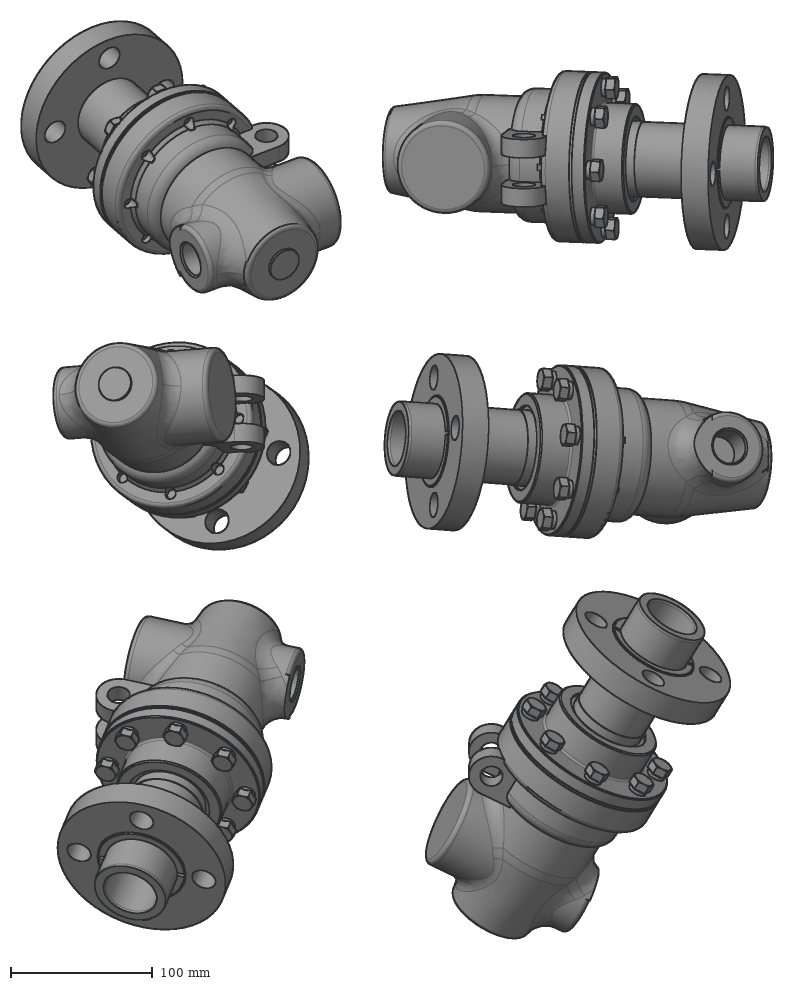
import cadquery as cq
import math


pipe_diameter = 53.1
pipe_collar_diameter = 53.95
pipe_collar_start = 89.0
pipe_bore_diameter = 38.61
pipe_bore_depth = 117.5
pipe_outer_chamfer = 2.0
pipe_outer_chamfer_height = 0.4
pipe_bore_chamfer = 2.0
pipe_bore_chamfer_height = 0.4

flange_diameter = 124.0
flange_start = 27.9
flange_end = 47.4
flange_hole_count = 4
flange_hole_diameter = 17.35
flange_hole_circle_radius = 46.0

ring_diameter = 63.2
ring_recess_diameter = 65.2
ring_recess_depth = 2.0
ring_projection = 0.7
ring_gap = 2.8

hub_start = 94.4
hub_diameter = 78.0
hub_chamfer = 1.0
hub_root_radius = 1.6
hub_recess_diameter = 60.33
hub_recess_depth = 2.0
plate_start = 117.5
plate_diameter = 120.8
plate_chamfer = 0.8
gasket_start = 127.0
gasket_end = 128.9
gasket_diameter = plate_diameter - 1.4

body_flange_end = 149.6
body_flange_radius = 3.4
body_root_length = 3.2
body_root_height = 2.2
body_diameter = 94.6
body_shoulder_start = 167.7
body_shoulder_radius = 9.1
neck_diameter = 82.7
taper_blend_start = 204.6
taper_blend_end = 211.7
taper_angle = math.radians(10)
taper_blend_radius = (taper_blend_end - taper_blend_start) / math.sin(taper_angle)
taper_start_radius = neck_diameter / 2 - taper_blend_radius * (1 - math.cos(taper_angle))
body_end = 270.7
body_end_radius = 3.4
end_pad_diameter = 24.0
overall_length = 272.81
tail_extension = 30.0

bolt_count = 8
bolt_circle_radius = 50.5
bolt_head_start = 107.5
bolt_head_end = 114.3
bolt_head_flats = 14.28
bolt_head_chamfer = 0.6
washer_diameter = 13.0
tapped_hole_diameter = 7.8
tapped_hole_start = 145.0
tapped_hole_end = 154.6

large_port_x = 219.7
large_port_diameter = 66.8
large_port_reach = 62.0
large_port_edge_radius = 3.4
large_port_blend = 11.0

small_port_x = 231.0
small_port_diameter = 50.8
small_port_reach = 52.3
small_port_edge_radius = 3.0
small_port_blend = 17.0
sharp_rim_offset = 13.0
small_port_bore_diameter = 24.2
small_port_bore_depth = 25.0
small_port_bore_chamfer = 1.2

seam_inner_y = 10.0
seam_outer_y = 50.0

lug_x = 162.1
lug_radius = 15.9
lug_reach = 73.15
lug_hole_diameter = 15.75
lug_inner_z = 11.0
lug_thickness = 13.2


def disc(diameter, start, end):
    """Cylinder about the X axis between two X positions."""
    return cq.Workplane("YZ").workplane(offset=start).circle(diameter / 2).extrude(end - start)


def make_pipe():
    """Pipe up to the floor of the hub recess, with a slightly larger collar at the hub."""
    pipe = disc(pipe_diameter, 0, hub_start + hub_recess_depth)
    pipe = pipe.faces("<X").edges().chamfer(pipe_outer_chamfer, pipe_outer_chamfer_height)
    return pipe.union(disc(pipe_collar_diameter, pipe_collar_start, hub_start + hub_recess_depth))


def make_pipe_flange():
    """Drilled flange with the split retaining ring seated in its recess."""
    flange = disc(flange_diameter, flange_start, flange_end)
    flange = flange.cut(disc(ring_recess_diameter, flange_start, flange_start + ring_recess_depth))
    holes = (
        cq.Workplane("YZ")
        .workplane(offset=flange_start)
        .polarArray(flange_hole_circle_radius, 0, 360, flange_hole_count)
        .circle(flange_hole_diameter / 2)
        .extrude(flange_end - flange_start)
    )
    ring_start = flange_start - ring_projection
    ring_end = flange_start + ring_recess_depth
    ring_length = ring_end - ring_start
    gap = cq.Workplane("XY").box(ring_length, ring_diameter, ring_gap, centered=(False, True, True))
    ring = disc(ring_diameter, ring_start, ring_end).cut(gap.translate((ring_start, 0, 0)))
    return flange.cut(holes).union(ring)


def make_gland():
    """Recessed hub on its clamping plate, with the slightly smaller gasket behind the plate."""
    hub = disc(hub_diameter, hub_start, plate_start).faces("<X").edges().chamfer(hub_chamfer)
    hub = hub.cut(disc(hub_recess_diameter, hub_start, hub_start + hub_recess_depth))
    plate = disc(plate_diameter, plate_start, gasket_start).faces("<X").edges().chamfer(plate_chamfer)
    gland = plate.union(hub)
    root_edges = gland.faces(">X[-2]").edges(cq.selectors.RadiusNthSelector(0))
    gland = root_edges.fillet(hub_root_radius)
    return gland.union(disc(gasket_diameter, gasket_start, gasket_end))


def make_body_front():
    """Body flange, barrel and rounded shoulder down to the neck."""
    flange = disc(plate_diameter, gasket_end, body_flange_end).faces(">X").edges().fillet(body_flange_radius)
    barrel_radius = body_diameter / 2
    shoulder_end = body_shoulder_start + body_shoulder_radius
    shoulder_mid_x = body_shoulder_start + body_shoulder_radius * math.sin(math.pi / 4)
    shoulder_mid_r = barrel_radius - body_shoulder_radius * (1 - math.cos(math.pi / 4))
    barrel = (
        cq.Workplane("XY")
        .moveTo(gasket_end, 0)
        .lineTo(gasket_end, barrel_radius + body_root_height)
        .lineTo(body_flange_end, barrel_radius + body_root_height)
        .lineTo(body_flange_end + body_root_length, barrel_radius)
        .lineTo(body_shoulder_start, barrel_radius)
        .threePointArc(
            (shoulder_mid_x, shoulder_mid_r),
            (shoulder_end, barrel_radius - body_shoulder_radius),
        )
        .lineTo(shoulder_end, 0)
        .close()
        .revolve(360, (0, 0, 0), (1, 0, 0))
    )
    return flange.union(barrel)


def taper_radius_at(x):
    """Radius of the tapered tail at an X position."""
    return taper_start_radius - (x - taper_blend_end) * math.tan(taper_angle)


def make_neck(end):
    """Neck with a tangent blend into the tapered tail, out to the given X position."""
    neck_radius = neck_diameter / 2
    blend_mid_x = taper_blend_start + taper_blend_radius * math.sin(taper_angle / 2)
    blend_mid_r = neck_radius - taper_blend_radius * (1 - math.cos(taper_angle / 2))
    return (
        cq.Workplane("XY")
        .moveTo(gasket_end, 0)
        .lineTo(gasket_end, neck_radius)
        .lineTo(taper_blend_start, neck_radius)
        .threePointArc((blend_mid_x, blend_mid_r), (taper_blend_end, taper_start_radius))
        .lineTo(end, taper_radius_at(end))
        .lineTo(end, 0)
        .close()
        .revolve(360, (0, 0, 0), (1, 0, 0))
    )


def port(x, diameter, reach):
    """Cylinder along Y from the main axis; a negative reach points to -Y."""
    return cq.Workplane("XZ").center(x, 0).circle(diameter / 2).extrude(-reach)


def blend_port(body, port_x, port_diameter, side, blend_radius):
    """Fillet the seam between a port and the body; side is +1 for +Y and -1 for -Y."""
    seam_reach = port_diameter / 2
    seam_low_y, seam_high_y = sorted((side * seam_inner_y, side * seam_outer_y))
    seam_box = cq.selectors.BoxSelector(
        (port_x - seam_reach, seam_low_y, -seam_reach), (port_x + seam_reach, seam_high_y, seam_reach)
    )
    return body.newObject(body.edges(seam_box).edges("%BSPLINE").vals()).fillet(blend_radius)


def make_tee():
    """Neck and tapered tail with both side ports, their blends and the rounded tail end."""
    block_size = 2 * overall_length
    tee = make_neck(body_end + tail_extension)

    tee = tee.union(port(large_port_x, large_port_diameter, large_port_reach))
    tee = blend_port(tee, large_port_x, large_port_diameter, 1, large_port_blend)
    tee = tee.faces(">Y").edges().fillet(large_port_edge_radius)

    tee = tee.union(port(small_port_x, small_port_diameter, -small_port_reach - small_port_blend))
    tee = blend_port(tee, small_port_x, small_port_diameter, -1, small_port_blend)
    facing_block = cq.Workplane("XY").box(block_size, block_size, block_size)
    tee = tee.cut(facing_block.translate((0, -small_port_reach - block_size / 2, 0)))

    sharp_side = facing_block.translate((small_port_x - sharp_rim_offset - block_size / 2, 0, 0))
    sharp_part = tee.intersect(sharp_side)
    rounded_part = tee.faces("<Y").edges().fillet(small_port_edge_radius).cut(sharp_side)
    tee = sharp_part.union(rounded_part)

    tail_block = facing_block.translate((body_end + block_size / 2, 0, 0))
    return tee.cut(tail_block).cut(make_tail_rounding())


def make_tail_rounding():
    """Ring removed around the tail end to leave a rounded rim."""
    rim_radius = taper_radius_at(body_end - body_end_radius)
    start = body_end - body_end_radius
    arc_mid_x = start + body_end_radius * math.sin(math.pi / 4)
    arc_mid_r = rim_radius - body_end_radius * (1 - math.cos(math.pi / 4))
    return (
        cq.Workplane("XY")
        .moveTo(start, rim_radius)
        .threePointArc((arc_mid_x, arc_mid_r), (body_end, rim_radius - body_end_radius))
        .lineTo(body_end, neck_diameter / 2)
        .lineTo(start, neck_diameter / 2)
        .close()
        .revolve(360, (0, 0, 0), (1, 0, 0))
    )


def make_small_port_bore():
    """Blind bore of the small port with a chamfered mouth."""
    face_y = -small_port_reach
    bore_radius = small_port_bore_diameter / 2
    bore = cq.Workplane("XZ", origin=(small_port_x, face_y, 0)).circle(bore_radius)
    bore = bore.extrude(-small_port_bore_depth)
    mouth = (
        cq.Workplane("XZ", origin=(small_port_x, face_y, 0))
        .circle(bore_radius + small_port_bore_chamfer)
        .extrude(-small_port_bore_chamfer, taper=45)
    )
    return bore.union(mouth)


def make_lugs():
    """Pair of lugs on the +Y side, mirrored about the XY plane."""
    hole_y = lug_reach - lug_radius
    plan = (
        cq.Workplane("XY")
        .workplane(offset=lug_inner_z)
        .moveTo(lug_x - lug_radius, 0)
        .lineTo(lug_x - lug_radius, hole_y)
        .threePointArc((lug_x, lug_reach), (lug_x + lug_radius, hole_y))
        .lineTo(lug_x + lug_radius, 0)
        .close()
        .extrude(lug_thickness)
    )
    hole = cq.Workplane("XY").center(lug_x, hole_y).circle(lug_hole_diameter / 2)
    lug = plan.cut(hole.extrude(lug_inner_z + lug_thickness))
    return lug.union(lug.mirror("XY"))


def bolt_positions():
    """Bolt centres in the YZ plane."""
    step = 2 * math.pi / bolt_count
    return [
        (bolt_circle_radius * math.cos(i * step), bolt_circle_radius * math.sin(i * step))
        for i in range(bolt_count)
    ]


def make_bolts():
    """Hex bolt heads with corners along Y and chamfered tops, each on a round washer."""
    corner_diameter = bolt_head_flats / math.cos(math.pi / 6)
    heads = (
        cq.Workplane("YZ")
        .workplane(offset=bolt_head_start)
        .pushPoints(bolt_positions())
        .polygon(6, corner_diameter)
        .extrude(bolt_head_end - bolt_head_start)
    )
    chamfer_envelope = (
        cq.Workplane("YZ")
        .workplane(offset=bolt_head_start)
        .pushPoints(bolt_positions())
        .circle(corner_diameter / 2)
        .extrude(bolt_head_end - bolt_head_start)
        .faces("<X")
        .edges()
        .chamfer(bolt_head_chamfer, (corner_diameter - bolt_head_flats) / 2)
    )
    washers = (
        cq.Workplane("YZ")
        .workplane(offset=bolt_head_end)
        .pushPoints(bolt_positions())
        .circle(washer_diameter / 2)
        .extrude(plate_start - bolt_head_end)
    )
    return heads.intersect(chamfer_envelope).union(washers)


def make_tapped_holes():
    """Blind bolt holes that break out of the back of the body flange and groove the barrel."""
    return (
        cq.Workplane("YZ")
        .workplane(offset=tapped_hole_start)
        .pushPoints(bolt_positions())
        .circle(tapped_hole_diameter / 2)
        .extrude(tapped_hole_end - tapped_hole_start)
    )


def make_pipe_bore():
    """Blind pipe bore with a shallow chamfer at its mouth."""
    bore = disc(pipe_bore_diameter, 0, pipe_bore_depth)
    mouth_taper = math.degrees(math.atan2(pipe_bore_chamfer_height, pipe_bore_chamfer))
    mouth = (
        cq.Workplane("YZ")
        .circle(pipe_bore_diameter / 2 + pipe_bore_chamfer_height)
        .extrude(pipe_bore_chamfer, taper=mouth_taper)
    )
    return bore.union(mouth)


front = make_pipe().union(make_pipe_flange()).union(make_gland()).union(make_bolts())
body = make_body_front().cut(make_tapped_holes()).union(make_tee()).cut(make_small_port_bore())
body = body.union(disc(end_pad_diameter, body_end, overall_length)).union(make_lugs())

result = front.union(body).cut(make_pipe_bore())